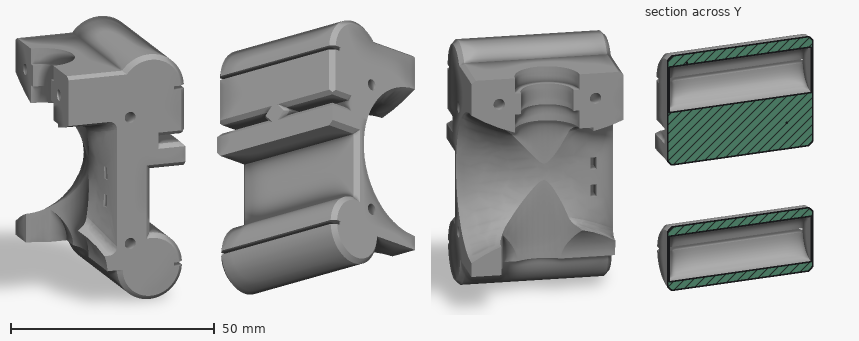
import cadquery as cq
import math


WIDTH = 38.0
HEIGHT = 62.5
ROD_Y = 21.5
UPPER_BARREL_R = 9.0
LOWER_BARREL_R = 8.5
UPPER_ROD_Z = HEIGHT / 2 - UPPER_BARREL_R
LOWER_ROD_Z = LOWER_BARREL_R - HEIGHT / 2
BACK_Y = ROD_Y + UPPER_BARREL_R
SHOULDER_Z = 27.75
BLOCK_BOTTOM_Z = 2.1
EDGE_CHAMFER = 1.1
SHOULDER_CHAMFER = 0.75
BLOCK_ROOT_Y = ROD_Y - 2 * EDGE_CHAMFER

ROD_BORE_R = 6.0
END_WALL = 0.5
SLIT = 1.0

BELT_FLOOR_Y = 23.5
BELT_Z = 9.25
BELT_GAP = 2.1
BELT_DEPTH = 15.0
BELT_FLARE = 1.0

COLLAR_R = 8.05
NECK_R = 6.55
HEATSINK_R = 11.5
NECK_TOP_Z = 23.8
NECK_BOTTOM_Z = 18.45
COLLAR_BOTTOM_Z = 13.8

INLET_R = 19.0
INLET_Z = -0.2
INLET_CORNER_ANGLES = (49.5, 58.5)
WAIST_Z = -0.5
WAIST_DEPTH = 11.75
WAIST_HALF_HEIGHT = 12.6
WAIST_STATIONS = (
    (0, WAIST_HALF_HEIGHT),
    (3.5, 12.3),
    (6.6, 11.4),
    (7.6, 10.95),
    (8.4, 10.25),
    (WAIST_DEPTH, 0),
)
OUTLET_Z = -1.75
OUTLET_DEPTH = 12.6
OUTLET_HALF_HEIGHT = 17.05
OUTLET_CORNER_R = 2.05
STRAIGHT_TOLERANCE = 3.91e-07

RELIEF_R = 10.1
RELIEF_START_X = -10.1

SCREW_D = 2.8
SIDE_HOLE_Y = 16.05
SIDE_HOLE_ZS = (15.95, -16.25)
FRONT_HOLE_X = 12.05
FRONT_HOLE_Z = 21.3
TIE_X = 13.9
TIE_WIDTH = 1.5
TIE_HEIGHT = 3.1
TIE_ZS = (0.75, -6.25)
TIE_FLOOR_Y = 15.0


def box(x_range, y_range, z_range):
    """Box spanning the given ranges."""
    (x0, x1), (y0, y1), (z0, z1) = x_range, y_range, z_range
    return cq.Workplane("XY").box(x1 - x0, y1 - y0, z1 - z0, centered=False).translate((x0, y0, z0))


def x_cylinder(radius, y, z, x_start=-WIDTH / 2, x_end=WIDTH / 2):
    """Cylinder along X."""
    return cq.Workplane("YZ", origin=(x_start, y, z)).circle(radius).extrude(x_end - x_start)


def z_cylinder(radius, z_bottom, z_top):
    """Cylinder on the Z axis."""
    return cq.Workplane("XY", origin=(0, 0, z_bottom)).circle(radius).extrude(z_top - z_bottom)


def make_body():
    """Barrels, web and back block, each with bevelled ends."""
    full_width = (-WIDTH / 2, WIDTH / 2)

    web = (
        cq.Workplane("XZ")
        .moveTo(-WIDTH / 2, LOWER_ROD_Z)
        .lineTo(-WIDTH / 2, SHOULDER_Z - SHOULDER_CHAMFER)
        .lineTo(EDGE_CHAMFER - WIDTH / 2, SHOULDER_Z)
        .lineTo(WIDTH / 2 - EDGE_CHAMFER, SHOULDER_Z)
        .lineTo(WIDTH / 2, SHOULDER_Z - SHOULDER_CHAMFER)
        .lineTo(WIDTH / 2, LOWER_ROD_Z)
        .close()
        .extrude(-ROD_Y)
    )
    web = web.faces(">Y").edges("|Z and (<X or >X)").chamfer(EDGE_CHAMFER)

    block = box(full_width, (BLOCK_ROOT_Y, BACK_Y), (BELT_Z, UPPER_ROD_Z))
    block = block.faces(">Y").edges("|Z").chamfer(EDGE_CHAMFER)
    tab = box(full_width, (BLOCK_ROOT_Y, BACK_Y), (BLOCK_BOTTOM_Z, BELT_Z))
    tab = tab.faces("<Z").edges("|Y").chamfer(EDGE_CHAMFER)

    upper_barrel = x_cylinder(UPPER_BARREL_R, ROD_Y, UPPER_ROD_Z).edges().chamfer(EDGE_CHAMFER)
    lower_barrel = x_cylinder(LOWER_BARREL_R, ROD_Y, LOWER_ROD_Z).edges().chamfer(EDGE_CHAMFER)
    return web.union(block).union(tab).union(upper_barrel).union(lower_barrel)


def make_rod_bore(z):
    """Closed rod bore and the slit that opens it to the back."""
    inner_end = WIDTH / 2 - END_WALL
    bore = x_cylinder(ROD_BORE_R, ROD_Y, z, -inner_end, inner_end)
    slit = box(
        (-WIDTH / 2, WIDTH / 2),
        (ROD_Y + ROD_BORE_R, BACK_Y),
        (z - SLIT / 2, z + SLIT / 2),
    )
    inner_slit = box(
        (-inner_end, inner_end),
        (ROD_Y, ROD_Y + ROD_BORE_R),
        (z - SLIT / 2, z + SLIT / 2),
    )
    return bore.union(inner_slit).union(slit)


def make_belt_slot():
    """Slot from the -X end, closed by a pointed ridge and flared at the end and back faces."""
    outer_x = -WIDTH / 2
    half_gap = BELT_GAP / 2
    mouth_half = half_gap + BELT_FLARE
    tip_x = outer_x + BELT_DEPTH
    flare_y = BACK_Y - BELT_FLARE

    def outline(half_height, ridge_tip_x):
        """Points around the slot; the ridge faces slope at 45 degrees."""
        ridge_base_x = ridge_tip_x + half_height
        return [
            (outer_x, half_height),
            (ridge_base_x, half_height),
            (ridge_tip_x, 0),
            (ridge_base_x, -half_height),
            (outer_x, -half_height),
        ]

    inner_outline = outline(half_gap, tip_x)
    slot = (
        cq.Workplane("XZ", origin=(0, BACK_Y, BELT_Z))
        .polyline(inner_outline)
        .close()
        .extrude(BACK_Y - BELT_FLOOR_Y)
    )
    end_flare = (
        cq.Workplane("XZ", origin=(0, BACK_Y, BELT_Z))
        .moveTo(outer_x, mouth_half)
        .lineTo(outer_x + BELT_FLARE, half_gap)
        .lineTo(outer_x + BELT_FLARE, -half_gap)
        .lineTo(outer_x, -mouth_half)
        .close()
        .extrude(BACK_Y - BELT_FLOOR_Y)
    )
    back_flare = (
        cq.Workplane("XZ", origin=(0, flare_y, BELT_Z))
        .polyline(inner_outline)
        .close()
        .workplane(offset=-BELT_FLARE)
        .polyline(outline(mouth_half, tip_x + BELT_FLARE))
        .close()
        .loft(ruled=True)
    )
    return slot.union(end_flare).union(back_flare)


def make_hotend_seat():
    """Stepped half bore: collar, neck, collar and wide heatsink room."""
    upper_collar = z_cylinder(COLLAR_R, NECK_TOP_Z, SHOULDER_Z)
    neck = z_cylinder(NECK_R, NECK_BOTTOM_Z, NECK_TOP_Z)
    lower_collar = z_cylinder(COLLAR_R, COLLAR_BOTTOM_Z, NECK_BOTTOM_Z)
    heatsink_room = z_cylinder(HEATSINK_R, LOWER_ROD_Z, COLLAR_BOTTOM_Z)
    return upper_collar.union(neck).union(lower_collar).union(heatsink_room)


def duct_section(x, z, stations):
    """Half section of the duct, mirrored about height z.

    The stations are (depth, height) points on the upper half: the front end,
    top middle, corner start, corner middle, corner end and deepest point.
    """
    upper = [cq.Vector(x, depth, z + height) for depth, height in stations]
    lower = [cq.Vector(x, depth, z - height) for depth, height in stations]
    front, top, corner_start, corner, corner_end, deepest = upper
    front_low, top_low, corner_start_low, corner_low, corner_end_low, _ = lower

    def stretch(start, middle, end):
        cross = (middle - start).cross(end - start)
        if cross.Length < STRAIGHT_TOLERANCE:
            return cq.Edge.makeLine(start, end)
        return cq.Edge.makeThreePointArc(start, middle, end)

    return cq.Wire.assembleEdges(
        [
            stretch(front, top, corner_start),
            stretch(corner_start, corner, corner_end),
            stretch(corner_end, deepest, corner_end_low),
            stretch(corner_end_low, corner_low, corner_start_low),
            stretch(corner_start_low, top_low, front_low),
            cq.Edge.makeLine(front_low, front),
        ]
    )


def make_duct():
    """Smooth duct through inlet, waist and outlet."""
    def inlet_point(angle):
        radians = math.radians(angle)
        return INLET_R * math.cos(radians), INLET_R * math.sin(radians)

    low_angle, high_angle = INLET_CORNER_ANGLES
    inlet_angles = (90, (90 + high_angle) / 2, high_angle, (low_angle + high_angle) / 2, low_angle, 0)
    inlet = [inlet_point(angle) for angle in inlet_angles]

    flat_depth = OUTLET_DEPTH - OUTLET_CORNER_R
    flat_height = OUTLET_HALF_HEIGHT - OUTLET_CORNER_R
    diagonal = OUTLET_CORNER_R * math.sqrt(0.5)
    outlet = [
        (0, OUTLET_HALF_HEIGHT),
        (flat_depth / 2, OUTLET_HALF_HEIGHT),
        (flat_depth, OUTLET_HALF_HEIGHT),
        (flat_depth + diagonal, flat_height + diagonal),
        (OUTLET_DEPTH, flat_height),
        (OUTLET_DEPTH, 0),
    ]
    sections = [
        duct_section(-WIDTH / 2, INLET_Z, inlet),
        duct_section(0, WAIST_Z, WAIST_STATIONS),
        duct_section(WIDTH / 2, OUTLET_Z, outlet),
    ]
    return cq.Workplane(cq.Solid.makeLoft(sections))


result = make_body()
for rod_z in (UPPER_ROD_Z, LOWER_ROD_Z):
    result = result.cut(make_rod_bore(rod_z))

belt_slot = make_belt_slot()
result = result.cut(belt_slot).cut(belt_slot.mirror("YZ"))

result = result.cut(make_duct()).cut(make_hotend_seat())
result = result.cut(x_cylinder(RELIEF_R, 0, LOWER_ROD_Z, RELIEF_START_X))

for hole_z in SIDE_HOLE_ZS:
    result = result.cut(x_cylinder(SCREW_D / 2, SIDE_HOLE_Y, hole_z))
for hole_x in (-FRONT_HOLE_X, FRONT_HOLE_X):
    front_hole = cq.Workplane("XZ", origin=(hole_x, 0, FRONT_HOLE_Z)).circle(SCREW_D / 2).extrude(-ROD_Y)
    result = result.cut(front_hole)

for tie_z in TIE_ZS:
    tie_pocket = box(
        (TIE_X - TIE_WIDTH / 2, TIE_X + TIE_WIDTH / 2),
        (0, TIE_FLOOR_Y),
        (tie_z - TIE_HEIGHT / 2, tie_z + TIE_HEIGHT / 2),
    )
    result = result.cut(tie_pocket)